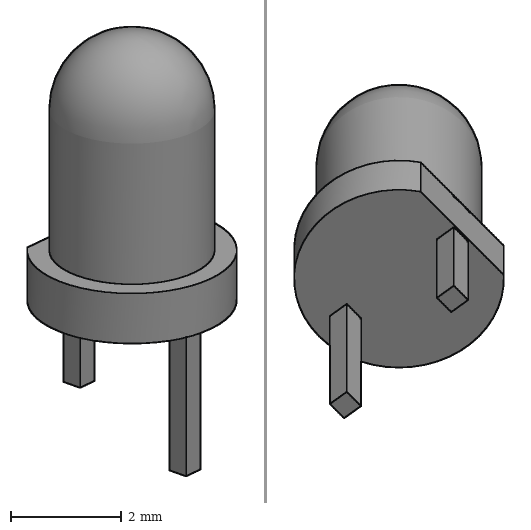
import cadquery as cq

lens_diameter = 3.0
flange_diameter = 3.8
flange_height = 1.0
barrel_height = 2.8

lead_width = 0.4
lead_pitch = 2.54
short_lead_length = 2.0
long_lead_length = 3.0

lens_radius = lens_diameter / 2
flange_radius = flange_diameter / 2
dome_base = flange_height + barrel_height


def make_flange():
    """Disc with one flat on -X, tangent to the lens barrel."""
    disc = cq.Workplane("XY").circle(flange_radius).extrude(flange_height)
    flat_cutter = (
        cq.Workplane("XY")
        .box(flange_diameter, flange_diameter, flange_height, centered=(False, True, False))
        .translate((-lens_radius - flange_diameter, 0, 0))
    )
    return disc.cut(flat_cutter)


def make_lens():
    """Cylindrical barrel with a hemispherical dome, revolved about Z."""
    dome_top = dome_base + lens_radius
    return (
        cq.Workplane("XZ")
        .moveTo(0, flange_height)
        .lineTo(lens_radius, flange_height)
        .lineTo(lens_radius, dome_base)
        .radiusArc((0, dome_top), -lens_radius)
        .close()
        .revolve(360, (0, 0, 0), (0, 1, 0))
    )


def make_lead(x, length):
    """Square lead hanging from the underside of the flange."""
    return cq.Workplane("XY").center(x, 0).rect(lead_width, lead_width).extrude(-length)


result = (
    make_flange()
    .union(make_lens())
    .union(make_lead(-lead_pitch / 2, short_lead_length))
    .union(make_lead(lead_pitch / 2, long_lead_length))
)